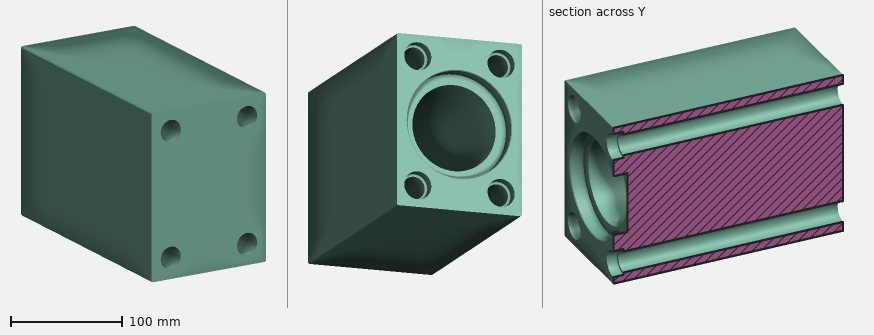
import cadquery as cq

length = 230.0
width = 120.0
height = 160.0
edge_chamfer = 1.0

bore_diameter = 80.0
end_wall = 30.0
bore_depth = length - end_wall
recess_diameter = 100.0
recess_depth = 14.0
recess_lead_in = 0.7

bolt_spacing_y = 80.0
bolt_spacing_z = 120.0
bolt_hole_diameter = 21.0
counterbore_diameter = 26.0
counterbore_depth = 10.3


def make_block():
    """Block centred on the origin, with its four long edges chamfered."""
    return cq.Workplane("XY").box(length, width, height).edges("|X").chamfer(edge_chamfer)


def end_plane():
    """Workplane on the -X end; positive extrusion goes into the block."""
    return cq.Workplane("YZ", origin=(-length / 2, 0, 0))


def cut_main_bore(block):
    """Blind bore with a wider recess at its mouth and a chamfered entry."""
    bore = end_plane().circle(bore_diameter / 2).extrude(bore_depth)
    recess = end_plane().circle(recess_diameter / 2).extrude(recess_depth)
    lead_in = (
        end_plane()
        .circle(recess_diameter / 2 + recess_lead_in)
        .workplane(offset=recess_lead_in)
        .circle(recess_diameter / 2)
        .loft()
    )
    return block.cut(bore).cut(recess).cut(lead_in)


def cut_bolt_holes(block):
    """Four through holes, counterbored on the -X end."""
    centres = end_plane().rarray(bolt_spacing_y, bolt_spacing_z, 2, 2)
    holes = centres.circle(bolt_hole_diameter / 2).extrude(length)
    counterbores = centres.circle(counterbore_diameter / 2).extrude(counterbore_depth)
    return block.cut(holes).cut(counterbores)


result = cut_bolt_holes(cut_main_bore(make_block()))